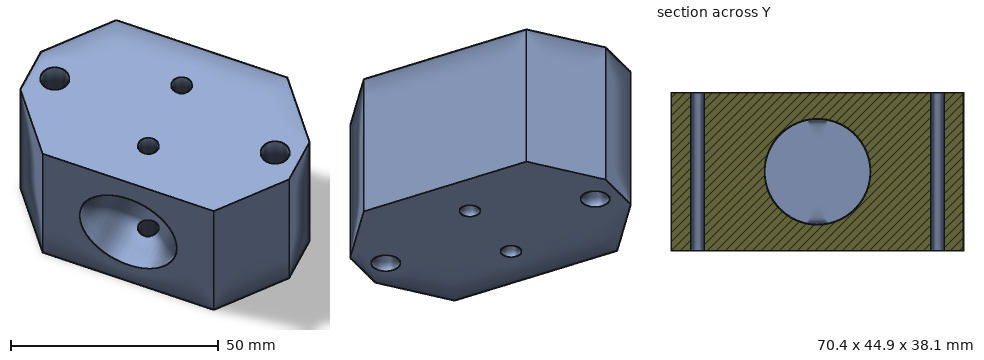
import cadquery as cq

length = 70.4
width = 44.85
height = 38.1

side_flat = 44.85
end_flat = 12.5

bore_diameter = 25.4
bore_depth = 38.7

mount_diameter = 7.0
mount_spacing = 57.75
pin_diameter = 5.0
pin_spacing = 20.35


def make_block():
    """Block with four cut vertical corners, centred on the origin."""
    corner_x = (length - side_flat) / 2
    corner_y = (width - end_flat) / 2
    block = cq.Workplane("XY").box(length, width, height)
    for x_sign in (-1, 1):
        for y_sign in (-1, 1):
            x_end = x_sign * length / 2
            y_end = y_sign * width / 2
            corner = (
                cq.Workplane("XY", origin=(0, 0, -height / 2))
                .moveTo(x_end, y_end)
                .lineTo(x_end - x_sign * corner_x, y_end)
                .lineTo(x_end, y_end - y_sign * corner_y)
                .close()
                .extrude(height)
            )
            block = block.cut(corner)
    return block


def make_bore():
    """Flat-bottomed cylinder running along +Y from the -Y face."""
    return (
        cq.Workplane("XZ", origin=(0, -width / 2, 0))
        .circle(bore_diameter / 2)
        .extrude(-bore_depth)
    )


def make_vertical_holes(diameter, centres):
    """Cylinders through the full height at the given centres."""
    return (
        cq.Workplane("XY", origin=(0, 0, -height / 2))
        .pushPoints(centres)
        .circle(diameter / 2)
        .extrude(height)
    )


mount_centres = [(-mount_spacing / 2, 0), (mount_spacing / 2, 0)]
pin_centres = [(0, -pin_spacing / 2), (0, pin_spacing / 2)]

result = (
    make_block()
    .cut(make_bore())
    .cut(make_vertical_holes(mount_diameter, mount_centres))
    .cut(make_vertical_holes(pin_diameter, pin_centres))
)